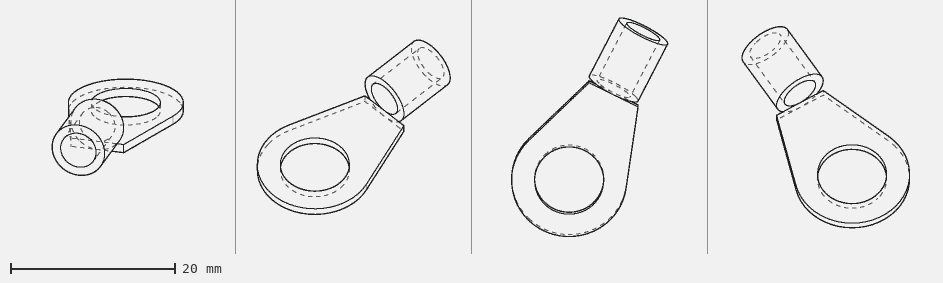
import cadquery as cq
import math

total_length = 27.0
ring_diameter = 14.0
stud_hole_diameter = 8.4
barrel_diameter = 6.7
bore_diameter = 4.5
barrel_length = 8.0

ring_radius = ring_diameter / 2
barrel_radius = barrel_diameter / 2
sheet_thickness = (barrel_diameter - bore_diameter) / 2
barrel_front_y = ring_radius - total_length
neck_y = barrel_front_y + barrel_length

corner_distance = math.hypot(barrel_radius, neck_y)
corner_angle = math.atan2(neck_y, barrel_radius)
tangent_angle = corner_angle + math.acos(ring_radius / corner_distance)
tangent_x = ring_radius * math.cos(tangent_angle)
tangent_y = ring_radius * math.sin(tangent_angle)


def make_tongue():
    """Flat ring tapering tangentially to the barrel width."""
    outline = (
        cq.Workplane("XY")
        .moveTo(-barrel_radius, neck_y)
        .lineTo(barrel_radius, neck_y)
        .lineTo(tangent_x, tangent_y)
        .threePointArc((0, ring_radius), (-tangent_x, tangent_y))
        .close()
    )
    stud_hole = cq.Workplane("XY").circle(stud_hole_diameter / 2).extrude(sheet_thickness)
    return outline.extrude(sheet_thickness).cut(stud_hole)


def make_barrel():
    """Open crimp tube along Y, resting on the same underside as the tongue."""
    return (
        cq.Workplane("XZ", origin=(0, neck_y, barrel_radius))
        .circle(barrel_radius)
        .circle(bore_diameter / 2)
        .extrude(barrel_length)
    )


result = make_tongue().union(make_barrel())